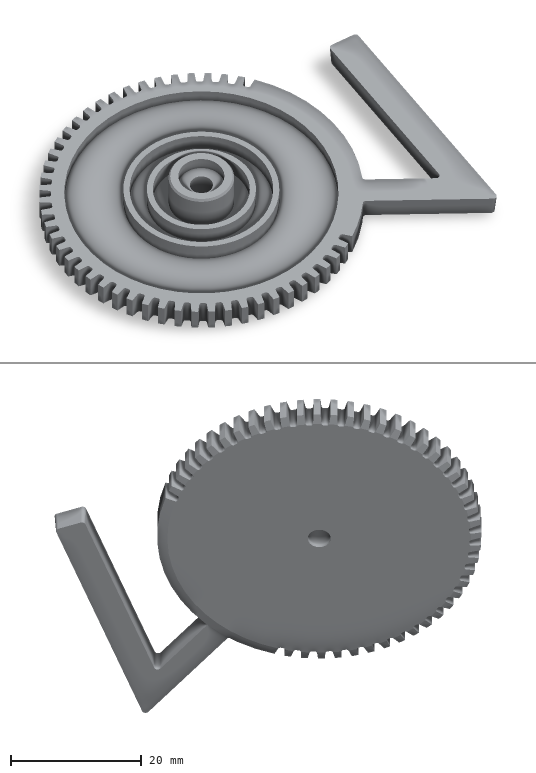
import cadquery as cq
import math

TEETH_PER_TURN = 60
TOOTH_PITCH_ANGLE = 360 / TEETH_PER_TURN
TIP_RADIUS = 24.8
ROOT_RADIUS = 23.0
RIM_TOP = 4.0
BEVEL_HEIGHT = 0.45
BEVEL_WIDTH = 1.6
GAP_COUNT = 45
FIRST_GAP_ANGLE = 130.6
GAP_OVERSHOOT = 0.6
GAP_ROOT_WIDTH = 1.05
GAP_TIP_WIDTH = 1.6
GAP_ROOT_FILLET = 0.4

FLOOR_TOP = 2.0
POCKET_RADIUS = 21.0
RING_OUTER_RADII = (11.95, 8.35)
RING_WALL = 0.95
RING_TOP = 4.8

HUB_RADIUS = 5.0
HUB_TOP = 7.7
HUB_CHAMFER_HEIGHT = 0.4
HUB_CHAMFER_WIDTH = 0.25
COUNTERBORE_RADIUS = 3.5
COUNTERBORE_DEPTH = 2.0
BORE_RADIUS = 1.75

ARM_BOTTOM = 0.6
ARM_DRAFT = 3.0
BAR_END_X = -15.4
BAR_WIDTH = 5.1
BAR_TILT = 0.5
LEG_WIDTH = 4.45
LEG_ANGLE = 59.3
LEG_FOOT_Y = 18.85
ELBOW_X = 25.3
ELBOW_Y = 38.0
ARM_FILLET = 0.55
LEG_ROOT_FILLET = 0.5


def cylinder(radius, bottom, top):
    return cq.Workplane("XY").workplane(offset=bottom).circle(radius).extrude(top - bottom)


def make_disc():
    """Plain gear blank, bevelled around its bottom edge."""
    return cylinder(TIP_RADIUS, 0, RIM_TOP).faces("<Z").chamfer(BEVEL_HEIGHT, BEVEL_WIDTH)


def make_arm():
    """Bent arm with rounded corners, drafted so that it narrows downward."""
    bar_slope = math.tan(math.radians(BAR_TILT))
    leg_lean = 1 / math.tan(math.radians(LEG_ANGLE))
    leg_width_x = LEG_WIDTH / math.sin(math.radians(LEG_ANGLE))
    bar_end_top = ELBOW_Y - (ELBOW_X - BAR_END_X) * bar_slope
    foot_x = ELBOW_X - (ELBOW_Y - LEG_FOOT_Y) * leg_lean

    bar_height_y = BAR_WIDTH / math.cos(math.radians(BAR_TILT))
    inner_drop = (bar_height_y + leg_width_x * bar_slope) / (1 - leg_lean * bar_slope)
    inner_corner = (ELBOW_X - leg_width_x - inner_drop * leg_lean, ELBOW_Y - inner_drop)

    outline = [
        (BAR_END_X, bar_end_top),
        (ELBOW_X, ELBOW_Y),
        (foot_x, LEG_FOOT_Y),
        (foot_x - leg_width_x, LEG_FOOT_Y),
        inner_corner,
        (BAR_END_X, bar_end_top - bar_height_y),
    ]
    height = RIM_TOP - ARM_BOTTOM
    inset = height * math.tan(math.radians(ARM_DRAFT))
    top = cq.Wire.makePolygon([cq.Vector(x, y, RIM_TOP) for x, y in outline], close=True)
    bottom = top.offset2D(-inset, "intersection")[0].translate(cq.Vector(0, 0, -height))
    arm = cq.Workplane(cq.Solid.makeLoft([top, bottom], True))
    return arm.edges("not(#Z)").fillet(ARM_FILLET)


def round_leg_root(body):
    """Fillet the two upright corners where the leg leaves the disc."""
    middle_z = (ARM_BOTTOM + RIM_TOP) / 2
    half_depth = (RIM_TOP - ARM_BOTTOM) / 4
    corner_zone = cq.selectors.BoxSelector(
        (0, LEG_FOOT_Y, middle_z - half_depth),
        (TIP_RADIUS, TIP_RADIUS, middle_z + half_depth),
    )
    return body.edges(corner_zone).fillet(LEG_ROOT_FILLET)


def make_tooth_gaps():
    """Tapered slots with rounded roots, one for each gap between teeth."""
    flare = (GAP_TIP_WIDTH - GAP_ROOT_WIDTH) / (TIP_RADIUS - ROOT_RADIUS)
    mouth_radius = TIP_RADIUS + GAP_OVERSHOOT
    mouth_half = (GAP_TIP_WIDTH + flare * GAP_OVERSHOOT) / 2
    root_half = GAP_ROOT_WIDTH / 2
    gap = (
        cq.Workplane("XY")
        .polyline([
            (ROOT_RADIUS, -root_half),
            (mouth_radius, -mouth_half),
            (mouth_radius, mouth_half),
            (ROOT_RADIUS, root_half),
        ])
        .close()
        .extrude(RIM_TOP)
        .edges("|Z and <X")
        .fillet(GAP_ROOT_FILLET)
    )
    gaps = cq.Workplane("XY")
    for index in range(GAP_COUNT):
        angle = FIRST_GAP_ANGLE + index * TOOTH_PITCH_ANGLE
        gaps.add(gap.rotate((0, 0, 0), (0, 0, 1), angle))
    return gaps.combine()


def make_ring(outer_radius):
    inside = cylinder(outer_radius - RING_WALL, FLOOR_TOP, RING_TOP)
    return cylinder(outer_radius, FLOOR_TOP, RING_TOP).cut(inside)


def make_hub():
    hub = cylinder(HUB_RADIUS, FLOOR_TOP, HUB_TOP)
    return hub.faces(">Z").chamfer(HUB_CHAMFER_HEIGHT, HUB_CHAMFER_WIDTH)


body = round_leg_root(make_disc().union(make_arm()))
body = body.cut(make_tooth_gaps())
body = body.cut(cylinder(POCKET_RADIUS, FLOOR_TOP, RIM_TOP))
for ring_radius in RING_OUTER_RADII:
    body = body.union(make_ring(ring_radius))
body = body.union(make_hub())
body = body.cut(cylinder(COUNTERBORE_RADIUS, HUB_TOP - COUNTERBORE_DEPTH, HUB_TOP))
result = body.cut(cylinder(BORE_RADIUS, 0, HUB_TOP))